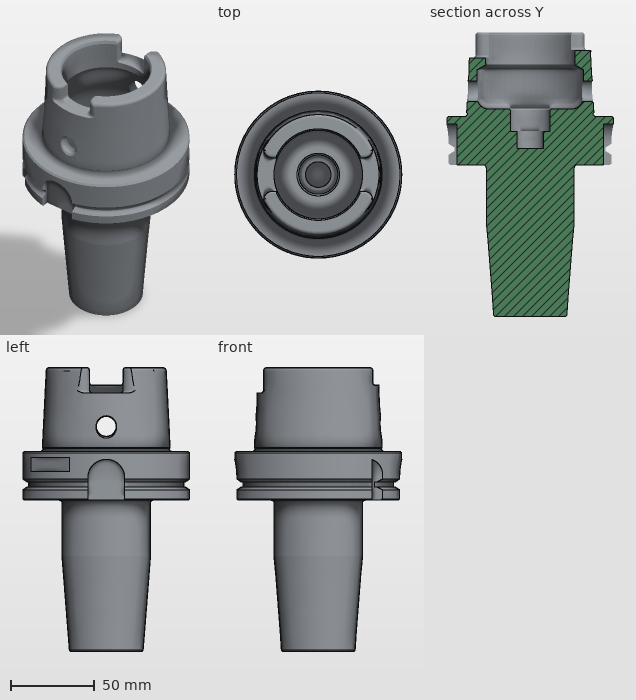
import cadquery as cq
import math

total_height = 170.0

shank_radius = 26.5
shank_end_radius = 22.1
shank_taper_top = 57.0
shank_end_chamfer = 0.8
shank_fillet = 1.5

flange_radius = 50.0
flange_bottom = 90.6
flange_top = 119.8
flange_top_chamfer = 1.0
flange_bottom_chamfer = 0.8
groove_radius = 46.4
groove_lip_radius = 47.3
groove_bottom = 98.6
groove_top = 101.5
lip_chamfer_height = 1.9

taper_end_radius = 35.9
taper_slope = 0.05
taper_foot = 122.0
relief_depth = 0.5
relief_fillet = 1.7
taper_end_round = 2.0
land_edge_round = 1.7

bore_radius = 26.5
bore_chamfer = 0.8
bore_chamfer_height = 1.7
bore_depth = 19.4
undercut_radius = 31.6
undercut_angle = 60.0
cavity_floor = 124.5
cavity_fillet = 6.6
socket_radius = 11.7
socket_chamfer = 1.0
socket_depth = 13.6
coolant_radius = 7.6
coolant_depth = 10.2

keyway_half_width = 10.0
keyway_round = 5.1
keyway_round_start = 27.5
keyway_fillet = 1.7
left_keyway_floor = 154.9
right_keyway_floor = 159.5

cross_hole_radius = 6.0
cross_hole_height = 134.8
countersink_start = 36.9
countersink_end = 40.0

drive_slot_radius = 11.0
drive_slot_floor = 43.9
drive_slot_center_height = 104.0
notch_radius = 10.2
notch_floor = 32.1
notch_wall = 31.8
notch_center_height = 105.4
flat_distance = 47.3
flat_bottom = 107.8
flat_height = 8.3
flat_direction = 135.0

taper_foot_radius = taper_end_radius + taper_slope * (total_height - taper_foot)
relief_radius = taper_foot_radius - relief_depth
clearance = 17.0


def turned_around(cutter):
    """Copy of a cutter on the opposite side of the axis."""
    return cutter.rotate((0, 0, 0), (0, 0, 1), 180)


def make_body():
    """Revolve the outer outline of shank, flange and taper."""
    outline = (
        cq.Workplane("YZ")
        .moveTo(0, 0)
        .lineTo(shank_end_radius - shank_end_chamfer, 0)
        .lineTo(shank_end_radius, shank_end_chamfer)
        .lineTo(shank_radius, shank_taper_top)
        .lineTo(shank_radius, flange_bottom - shank_fillet)
        .radiusArc((shank_radius + shank_fillet, flange_bottom), shank_fillet)
        .lineTo(flange_radius - flange_bottom_chamfer, flange_bottom)
        .lineTo(flange_radius, flange_bottom + flange_bottom_chamfer)
        .lineTo(flange_radius, groove_bottom - lip_chamfer_height)
        .lineTo(groove_lip_radius, groove_bottom)
        .lineTo(groove_radius, groove_bottom)
        .lineTo(groove_radius, groove_top)
        .lineTo(groove_lip_radius, groove_top)
        .lineTo(flange_radius, groove_top + lip_chamfer_height)
        .lineTo(flange_radius, flange_top - flange_top_chamfer)
        .lineTo(flange_radius - flange_top_chamfer, flange_top)
        .lineTo(relief_radius + relief_fillet, flange_top)
        .radiusArc((relief_radius, flange_top + relief_fillet), relief_fillet)
        .lineTo(taper_foot_radius, taper_foot)
        .lineTo(taper_end_radius, total_height)
        .lineTo(0, total_height)
        .close()
    )
    body = outline.revolve(360, (0, 0, 0), (0, 1, 0))
    return body.faces(">Z").edges().fillet(taper_end_round)


def make_cavity():
    """Bore, conical undercut, rounded floor, socket and coolant hole as one revolved cutter."""
    bore_end = total_height - bore_depth
    undercut_top = bore_end - (undercut_radius - bore_radius) / math.tan(math.radians(undercut_angle))
    socket_floor = cavity_floor - socket_depth
    outline = (
        cq.Workplane("YZ")
        .moveTo(0, total_height)
        .lineTo(bore_radius + bore_chamfer, total_height)
        .lineTo(bore_radius, total_height - bore_chamfer_height)
        .lineTo(bore_radius, bore_end)
        .lineTo(undercut_radius, undercut_top)
        .lineTo(undercut_radius, cavity_floor + cavity_fillet)
        .radiusArc((undercut_radius - cavity_fillet, cavity_floor), cavity_fillet)
        .lineTo(socket_radius + socket_chamfer, cavity_floor)
        .lineTo(socket_radius, cavity_floor - socket_chamfer)
        .lineTo(socket_radius, socket_floor)
        .lineTo(coolant_radius, socket_floor)
        .lineTo(coolant_radius, socket_floor - coolant_depth)
        .lineTo(0, socket_floor - coolant_depth)
        .close()
    )
    return outline.revolve(360, (0, 0, 0), (0, 1, 0))


def make_keyway(floor_height):
    """Keyway cutter on the +X side, flaring out around the rounded ends of the drive lands."""
    round_center_y = keyway_half_width + keyway_round
    flare = math.atan2(round_center_y, keyway_round_start)
    middle = (flare - math.pi / 2) / 2

    def on_round(angle):
        return (
            keyway_round_start + keyway_round * math.cos(angle),
            round_center_y + keyway_round * math.sin(angle),
        )

    flare_x, flare_y = on_round(flare)
    mid_x, mid_y = on_round(middle)
    outer_x = flare_x - clearance * math.sin(flare)
    outer_y = flare_y + clearance * math.cos(flare)
    far_x = flange_radius
    cutter = (
        cq.Workplane("XY", origin=(0, 0, floor_height))
        .moveTo(0, -keyway_half_width)
        .lineTo(keyway_round_start, -keyway_half_width)
        .threePointArc((mid_x, -mid_y), (flare_x, -flare_y))
        .lineTo(outer_x, -outer_y)
        .lineTo(far_x, -outer_y)
        .lineTo(far_x, outer_y)
        .lineTo(outer_x, outer_y)
        .lineTo(flare_x, flare_y)
        .threePointArc((mid_x, mid_y), (keyway_round_start, keyway_half_width))
        .lineTo(0, keyway_half_width)
        .close()
        .extrude(total_height - floor_height)
    )
    cutter = cutter.faces("<Z").edges().fillet(keyway_fillet)

    lid = (
        cq.Workplane("XY", origin=(0, 0, total_height))
        .box(far_x, 2 * far_x, clearance, centered=(False, True, False))
    )
    rims = cq.selectors.BoxSelector(
        (land_edge_round, -outer_y - land_edge_round, total_height - land_edge_round),
        (far_x - land_edge_round, outer_y + land_edge_round, total_height + land_edge_round),
    )
    return cutter.union(lid).edges(rims).fillet(land_edge_round)


def make_cross_hole():
    """Hole along X through both walls, with a 45 degree countersink at each mouth."""
    mouth_radius = cross_hole_radius + countersink_end - countersink_start
    half_hole = (
        cq.Workplane("XZ")
        .moveTo(0, 0)
        .lineTo(0, cross_hole_radius)
        .lineTo(countersink_start, cross_hole_radius)
        .lineTo(countersink_end, mouth_radius)
        .lineTo(countersink_end, 0)
        .close()
        .revolve(360, (0, 0, 0), (1, 0, 0))
    )
    return half_hole.union(turned_around(half_hole)).translate((0, 0, cross_hole_height))


def make_flange_slot(floor_x, center_y, center_height, radius):
    """Round-topped slot cutter, open downward and outward on the +X side."""
    depth = flange_radius - floor_x + clearance
    plane = cq.Workplane("YZ", origin=(floor_x, center_y, center_height))
    below = center_height - flange_bottom + shank_fillet
    leg = plane.center(0, -below / 2).rect(2 * radius, below).extrude(depth)
    return plane.circle(radius).extrude(depth).union(leg)


def make_label_flat():
    """Shallow rectangular flat on the flange rim."""
    flat = cq.Workplane("XY").box(clearance, flange_radius, flat_height, centered=(False, True, False))
    return flat.translate((flat_distance, 0, flat_bottom)).rotate((0, 0, 0), (0, 0, 1), flat_direction)


body = make_body().cut(make_cavity()).cut(make_cross_hole())
body = body.cut(make_keyway(right_keyway_floor))
body = body.cut(turned_around(make_keyway(left_keyway_floor)))

drive_slot = make_flange_slot(drive_slot_floor, 0, drive_slot_center_height, drive_slot_radius)
body = body.cut(drive_slot).cut(turned_around(drive_slot))
notch_center_y = -(notch_wall + notch_radius)
body = body.cut(make_flange_slot(notch_floor, notch_center_y, notch_center_height, notch_radius))
body = body.cut(make_label_flat())

result = body